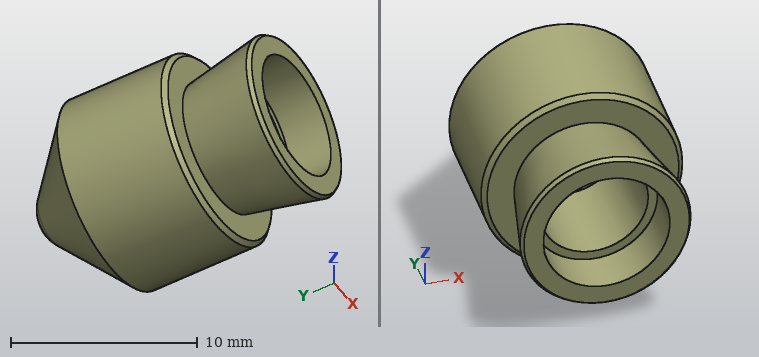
import cadquery as cq
import math

length = 15.95

body_radius = 5.59
body_start = 4.82
body_end = 11.6
body_chamfer = 0.27

nose_cap_radius = 1.53
nose_cap_start = 15.35

neck_radius = 3.83
rim_radius = 4.74
rim_chamfer_length = 0.25
rim_chamfer_depth = 0.15

counterbore_radius = 3.51
counterbore_depth = 2.55
bore_radius = 3.0
bore_depth = 7.98
drill_point_angle = 118.0

cap_height = length - nose_cap_start
cap_sphere_radius = (nose_cap_radius**2 + cap_height**2) / (2 * cap_height)
cap_half_angle = math.asin(nose_cap_radius / cap_sphere_radius) / 2
cap_mid_point = (
    cap_sphere_radius * math.sin(cap_half_angle),
    length - cap_sphere_radius * (1 - math.cos(cap_half_angle)),
)

bore_tip = bore_depth + bore_radius / math.tan(math.radians(drill_point_angle / 2))


def revolve_about_y(half_profile):
    """Turn a closed profile of (radius, y) points into a solid of revolution."""
    return half_profile.close().revolve(360, (0, 0, 0), (0, 1, 0))


outer = revolve_about_y(
    cq.Workplane("XY")
    .lineTo(rim_radius - rim_chamfer_depth, 0)
    .lineTo(rim_radius, rim_chamfer_length)
    .lineTo(neck_radius, body_start)
    .lineTo(body_radius - body_chamfer, body_start)
    .lineTo(body_radius, body_start + body_chamfer)
    .lineTo(body_radius, body_end)
    .lineTo(nose_cap_radius, nose_cap_start)
    .threePointArc(cap_mid_point, (0, length))
)

bore = revolve_about_y(
    cq.Workplane("XY")
    .lineTo(counterbore_radius, 0)
    .lineTo(counterbore_radius, counterbore_depth)
    .lineTo(bore_radius, counterbore_depth)
    .lineTo(bore_radius, bore_depth)
    .lineTo(0, bore_tip)
)

result = outer.cut(bore)